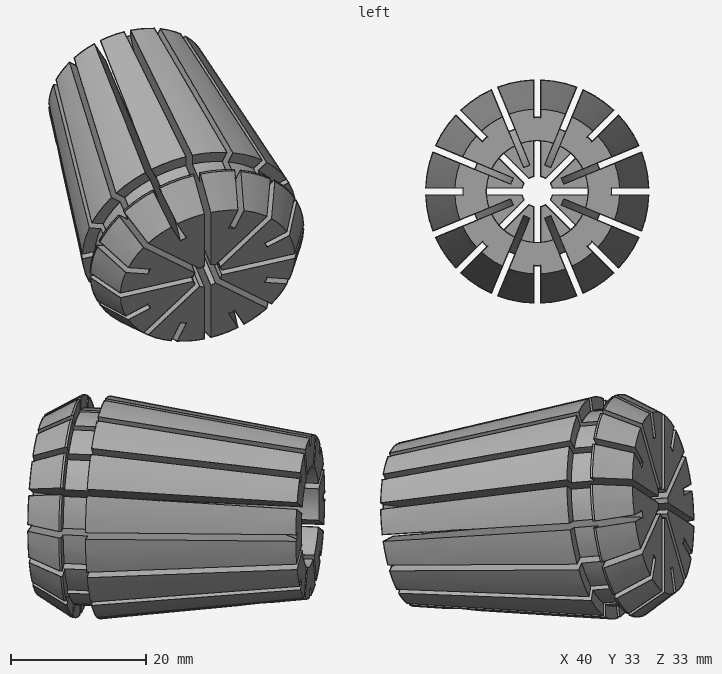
import cadquery as cq
import math

length = 40.0
max_diameter = 33.0
max_radius = max_diameter / 2
body_taper = 8.0
head_taper = 30.0
groove_start = 30.8
groove_width = 3.7
groove_radius = 14.6
head_land = 0.3

clamp_bore_radius = 2.3
relief_bore_radius = 7.5
relief_bore_depth = 24.0

slot_width = 1.0
slots_per_set = 8
slot_pitch = 360.0 / slots_per_set
end_web_length = 3.5
end_floor_radius = 11.0
end_floor_sag = 0.1
head_floor_inner_radius = 4.05
head_floor_outer_radius = 9.8
head_floor_sag = 0.9

groove_end = groove_start + groove_width
head_cone_start = groove_end + head_land
small_end_radius = max_radius - groove_start * math.tan(math.radians(body_taper))
head_end_radius = max_radius - (length - head_cone_start) * math.tan(math.radians(head_taper))
cutter_overrun = 0.4
clear_radius = max_radius + cutter_overrun


def make_body():
    """Double cone with a lock groove and a stepped bore."""
    half_section = [
        (0, relief_bore_radius),
        (0, small_end_radius),
        (groove_start, max_radius),
        (groove_start, groove_radius),
        (groove_end, groove_radius),
        (groove_end, max_radius),
        (head_cone_start, max_radius),
        (length, head_end_radius),
        (length, clamp_bore_radius),
        (relief_bore_depth, clamp_bore_radius),
        (relief_bore_depth, relief_bore_radius),
    ]
    profile = cq.Workplane("XY").polyline(half_section).close()
    return profile.revolve(360, (0, 0, 0), (1, 0, 0))


def slot_sketch():
    """Radial plane offset so that a slot extruded from it is centred on the axis."""
    return cq.Workplane("XZ", origin=(0, slot_width / 2, 0))


def head_slot():
    """Slot open at the head, its curved floor rising to the small end face."""
    return (
        slot_sketch()
        .moveTo(end_web_length, 0)
        .lineTo(length, 0)
        .lineTo(length, clear_radius)
        .lineTo(0, clear_radius)
        .lineTo(0, end_floor_radius)
        .sagittaArc((end_web_length, relief_bore_radius), -end_floor_sag)
        .close()
        .extrude(slot_width)
    )


def small_end_slot():
    """Slot open at the small end, its curved floor rising to the head face."""
    return (
        slot_sketch()
        .moveTo(0, 0)
        .lineTo(relief_bore_depth, 0)
        .lineTo(relief_bore_depth, head_floor_inner_radius)
        .sagittaArc((length, head_floor_outer_radius), -head_floor_sag)
        .lineTo(length, clear_radius)
        .lineTo(0, clear_radius)
        .close()
        .extrude(slot_width)
    )


def turned(cutter, angle):
    """Cutter rotated about the X axis."""
    return cutter.rotate((0, 0, 0), (1, 0, 0), angle)


result = make_body()
for index in range(slots_per_set):
    angle = index * slot_pitch
    result = result.cut(turned(head_slot(), angle))
    result = result.cut(turned(small_end_slot(), angle + slot_pitch / 2))